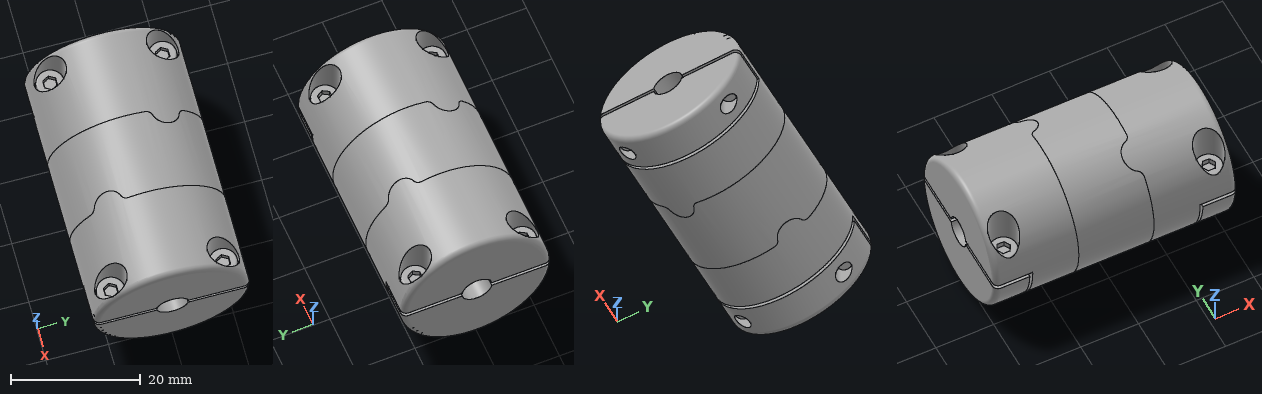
import cadquery as cq
import math


LENGTH = 42.0
OUTER_DIAMETER = 25.0
BORE_DIAMETER = 5.0
RIM_FILLET = 1.0
HUB_TURNS = (0, 180)

SLEEVE_LENGTH = 13.0
KEY_DIAMETER = 4.5
KEY_ROOT_RADIUS = 1.0
KEY_OFFSET = OUTER_DIAMETER / 4

CLAMP_SLOT_WIDTH = 0.75
CROSS_SLOT_WIDTH = 0.5
JAW_LENGTH = 6.0

SCREW_END_DISTANCE = 3.25
SCREW_OFFSET = 9.0
COUNTERBORE_DIAMETER = 5.0
HEAD_DIAMETER = 4.5
HEAD_HEIGHT = 2.5
HEAD_FILLET = 0.35
SEAT_HEIGHT = 2.0
SHANK_DIAMETER = 2.5
SHANK_LENGTH = 8.0
SOCKET_WIDTH = 2.0
SOCKET_DEPTH = 1.0

half_length = LENGTH / 2
outer_radius = OUTER_DIAMETER / 2
joint_x = SLEEVE_LENGTH / 2
jaw_inner_x = half_length - JAW_LENGTH
screw_x = half_length - SCREW_END_DISTANCE
head_top = SEAT_HEIGHT + HEAD_HEIGHT
screw_places = [(screw_x, -SCREW_OFFSET), (screw_x, SCREW_OFFSET)]


def turned(body, turn):
    """Body turned about Z, which carries the +X hub's shape to the -X side."""
    return body.rotate((0, 0, 0), (0, 0, 1), turn)


def round_bar(start_x, end_x):
    """Bored round bar along X."""
    return (
        cq.Workplane("YZ", origin=(start_x, 0, 0))
        .circle(outer_radius)
        .circle(BORE_DIAMETER / 2)
        .extrude(end_x - start_x)
    )


def key_prism():
    """Rounded key with flared roots, standing on the +X joint toward the sleeve, through all Z."""
    key_radius = KEY_DIAMETER / 2
    reach = key_radius + KEY_ROOT_RADIUS
    half_base = math.sqrt(reach**2 - KEY_ROOT_RADIUS**2)
    blend_rise = KEY_ROOT_RADIUS * key_radius / reach
    blend_side = half_base * key_radius / reach
    half_angle = (math.pi / 2 - math.asin(KEY_ROOT_RADIUS / reach)) / 2
    root_side = half_base - KEY_ROOT_RADIUS * math.sin(half_angle)
    root_rise = KEY_ROOT_RADIUS * (1 - math.cos(half_angle))
    return (
        cq.Workplane("XY", origin=(joint_x, -KEY_OFFSET, -outer_radius))
        .moveTo(0, half_base)
        .threePointArc((-root_rise, root_side), (-blend_rise, blend_side))
        .threePointArc((-key_radius, 0), (-blend_rise, -blend_side))
        .threePointArc((-root_rise, -root_side), (0, -half_base))
        .close()
        .extrude(OUTER_DIAMETER)
    )


def joint_key():
    """Key trimmed to the round outside of the coupling."""
    return key_prism().intersect(round_bar(0, half_length))


def clamp_slots():
    """Slot on the axis plane, open at the hub end, and cross slot down from it."""
    cross_slot_x = jaw_inner_x - CROSS_SLOT_WIDTH
    slot_top = CLAMP_SLOT_WIDTH / 2
    clamp_slot = cq.Workplane("XY").box(
        half_length - cross_slot_x, OUTER_DIAMETER, CLAMP_SLOT_WIDTH, centered=(False, True, True)
    ).translate((cross_slot_x, 0, 0))
    cross_slot = cq.Workplane("XY").box(
        CROSS_SLOT_WIDTH, OUTER_DIAMETER, slot_top + outer_radius, centered=(False, True, False)
    ).translate((cross_slot_x, 0, -outer_radius))
    return clamp_slot.union(cross_slot)


def screw_holes():
    """Counterbores from above and screw holes through to below."""
    counterbores = (
        cq.Workplane("XY", origin=(0, 0, SEAT_HEIGHT))
        .pushPoints(screw_places)
        .circle(COUNTERBORE_DIAMETER / 2)
        .extrude(outer_radius)
    )
    through_holes = (
        cq.Workplane("XY", origin=(0, 0, -outer_radius))
        .pushPoints(screw_places)
        .circle(SHANK_DIAMETER / 2)
        .extrude(outer_radius + SEAT_HEIGHT)
    )
    return counterbores.union(through_holes)


def screw():
    """Socket head screw on the Z axis, pointing down, with its head on the seat."""
    head = (
        cq.Workplane("XY", origin=(0, 0, SEAT_HEIGHT))
        .circle(HEAD_DIAMETER / 2)
        .extrude(HEAD_HEIGHT)
        .faces(">Z")
        .edges()
        .fillet(HEAD_FILLET)
    )
    socket = (
        cq.Workplane("XY", origin=(0, 0, head_top))
        .transformed(rotate=(0, 0, 90))
        .polygon(6, SOCKET_WIDTH, circumscribed=True)
        .extrude(-SOCKET_DEPTH)
    )
    shank = (
        cq.Workplane("XY", origin=(0, 0, SEAT_HEIGHT))
        .circle(SHANK_DIAMETER / 2)
        .extrude(-SHANK_LENGTH)
    )
    return head.cut(socket).union(shank)


def make_hub():
    """Hub on the +X side, with its joint key toward -Y."""
    hub = round_bar(joint_x, half_length)
    hub = hub.faces(">X").edges(cq.selectors.RadiusNthSelector(-1)).fillet(RIM_FILLET)
    hub = hub.union(joint_key()).cut(clamp_slots()).cut(screw_holes())
    for x, y in screw_places:
        hub = hub.union(screw().translate((x, y, 0)))
    return hub


def make_sleeve():
    """Middle sleeve with a matching recess for each hub's key."""
    sleeve = round_bar(-joint_x, joint_x)
    for turn in HUB_TURNS:
        sleeve = sleeve.cut(turned(key_prism(), turn))
    return sleeve


hubs = [turned(make_hub(), turn) for turn in HUB_TURNS]
sleeve = make_sleeve()

result = cq.Compound.makeCompound([sleeve.solids().val(), *[hub.solids().val() for hub in hubs]])